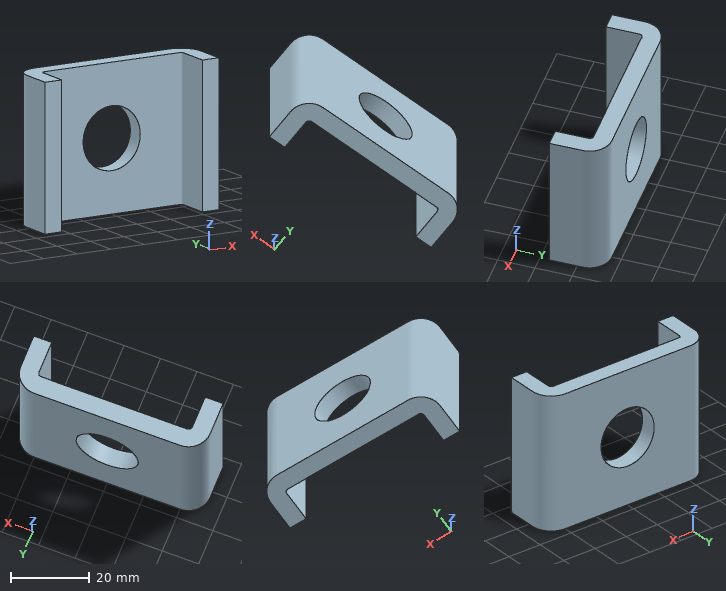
import cadquery as cq

width = 52.0
depth = 15.0
height = 40.0

thickness = 5.0
inner_bend_radius = 1.0
outer_bend_radius = inner_bend_radius + thickness

hole_diameter = 17.0


def upright_block(size_x, size_y):
    """Full-height block centred in X and Z, with its front face at Y = 0."""
    return cq.Workplane("XY").box(size_x, size_y, height, centered=(True, False, True))


outer_block = upright_block(width, depth).edges("|Z and >Y").fillet(outer_bend_radius)
inner_space = upright_block(width - 2 * thickness, depth - thickness)
inner_space = inner_space.edges("|Z and >Y").fillet(inner_bend_radius)
channel = outer_block.cut(inner_space)

hole = cq.Workplane("XZ").circle(hole_diameter / 2).extrude(-depth)

result = channel.cut(hole)